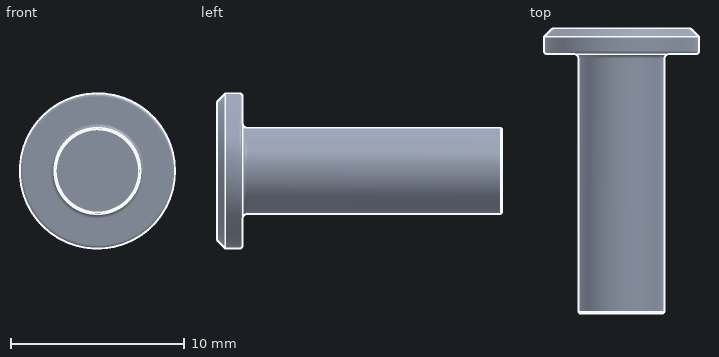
import cadquery as cq

total_length = 16.5
head_diameter = 9.0
head_thickness = 1.5
shank_diameter = 5.0

head_chamfer = 0.5
head_fillet = 0.2
neck_fillet = 0.25
tip_chamfer = 0.1

tip_y = -total_length / 2
top_y = total_length / 2
seat_y = top_y - head_thickness


def cylinder_along_y(diameter, start_y, end_y):
    """Solid cylinder on the Y axis between two Y positions."""
    profile = cq.Workplane("XZ", origin=(0, start_y, 0)).circle(diameter / 2)
    return profile.extrude(start_y - end_y)


head = cylinder_along_y(head_diameter, seat_y, top_y)
head = head.faces(">Y").chamfer(head_chamfer)
head = head.faces("<Y or >Y").edges().fillet(head_fillet)

shank = cylinder_along_y(shank_diameter, tip_y, seat_y)
shank = shank.faces("<Y").chamfer(tip_chamfer)

pin = head.union(shank)
seat_face = pin.faces("|Y").faces(cq.selectors.CenterNthSelector(cq.Vector(0, 1, 0), 1))
result = seat_face.edges(cq.selectors.RadiusNthSelector(0)).fillet(neck_fillet)